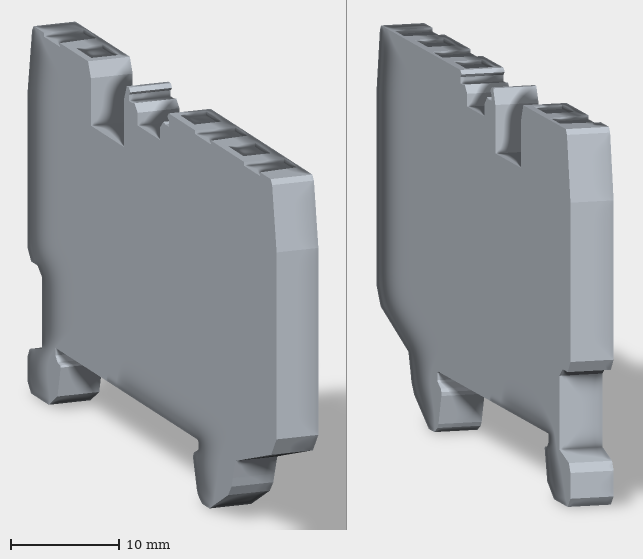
import cadquery as cq

length = 60.6
thickness = 4.2
height = 35.4

taper_base_z = 28.7
taper_tip_x = 1.1
taper_tip_z = 34.9
top_corner_x = 1.45

slot_left = 15.4
slot_right = 23.45
slot_floor_z = 29.4
slot_flare = 0.65
slot_flare_z = 33.95

groove_center_x = 29.5
groove_half_width = 2.7
groove_floor_z = 32.3
groove_chamfer_z = 33.5
ridge_half_width = 3.5
ridge_z = 34.25
ledge_half_width = 4.0
ledge_z = 34.1
undercut_half_width = 4.85
undercut_top_z = 34.7
tooth_half_width = 4.5
tooth_z = 35.0

rail_face_z = 5.9

pocket_depth = 0.35
pocket_pitch = 11.95
window_width = 3.9
window_front_y = 0.7
window_back_y = 3.45
first_window_x = 11.8
second_window_x = 36.9
window_centers = [first_window_x, second_window_x, second_window_x + pocket_pitch]
entry_front_width = 3.9
entry_back_width = 3.15
entry_back_y = 3.8
first_entry_x = 5.95
second_entry_x = 42.7
entry_centers = [first_entry_x, second_entry_x, second_entry_x + pocket_pitch]


def groove_side(direction):
    """Points of one groove flank, from the top face down to the floor (-1 left, +1 right)."""
    flank = [
        (undercut_half_width, height),
        (tooth_half_width, tooth_z),
        (undercut_half_width, undercut_top_z),
        (undercut_half_width, ledge_z),
        (ledge_half_width, ledge_z),
        (ridge_half_width, ridge_z),
        (groove_half_width, groove_chamfer_z),
        (groove_half_width, groove_floor_z),
    ]
    return [(groove_center_x + direction * offset, z) for offset, z in flank]


left_taper = [
    (0, taper_base_z),
    (taper_tip_x, taper_tip_z),
    (top_corner_x, height),
]
right_taper = [(length - x, z) for x, z in reversed(left_taper)]

slot = [
    (slot_left - slot_flare, height),
    (slot_left, slot_flare_z),
    (slot_left, slot_floor_z),
    (slot_right, slot_floor_z),
    (slot_right, slot_flare_z),
    (slot_right + slot_flare, height),
]

right_foot = [
    (length, 10.8),
    (59.25, 8.95),
    (50.6, 6.2),
    (49.95, 4.35),
    (49.65, 3.45),
    (48.8, 2.4),
    (44.25, 0),
    (42.5, 0),
    (41.5, 0.55),
    (41.2, 0.95),
    (40.3, 3.75),
    (40.3, 4.1),
    (40.5, 4.4),
    (41.4, 4.85),
    (41.6, 5.0),
    (41.6, 5.7),
    (41.4, rail_face_z),
]

left_foot = [
    (6.8, rail_face_z),
    (6.8, 5.15),
    (7.3, 4.6),
    (7.95, 4.5),
    (8.05, 4.3),
    (7.3, 1.35),
    (5.15, 0),
    (0.85, 0),
    (0, 0.9),
    (0, 3.35),
    (0.5, 4.2),
    (3.45, 4.95),
    (3.45, 11.9),
    (2.4, 12.65),
    (0.85, 12.65),
    (0, 13.75),
]

groove = groove_side(-1) + groove_side(1)[::-1]
outline = left_taper + slot + groove + right_taper + right_foot + left_foot

body = cq.Workplane("XZ").polyline(outline).close().extrude(-thickness)


def window_pocket(center_x):
    """Closed rectangular pocket."""
    depth_y = window_back_y - window_front_y
    return (
        cq.Workplane("XY", origin=(center_x, window_front_y, height))
        .rect(window_width, depth_y, centered=(True, False))
        .extrude(-pocket_depth)
    )


def entry_pocket(center_x):
    """Pocket open to the front face that narrows toward the back."""
    return (
        cq.Workplane("XY", origin=(center_x, 0, height))
        .polyline([
            (-entry_front_width / 2, 0),
            (entry_front_width / 2, 0),
            (entry_back_width / 2, entry_back_y),
            (-entry_back_width / 2, entry_back_y),
        ])
        .close()
        .extrude(-pocket_depth)
    )


for center in window_centers:
    body = body.cut(window_pocket(center))
for center in entry_centers:
    body = body.cut(entry_pocket(center))

result = body